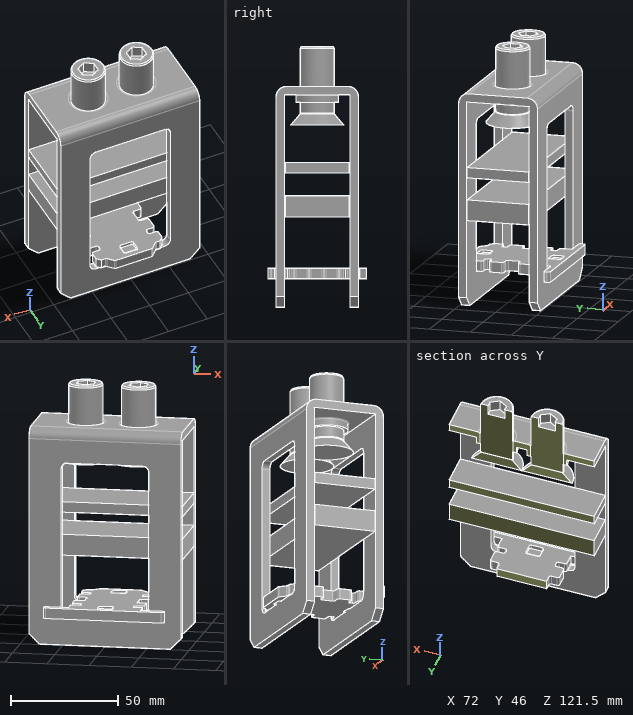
import cadquery as cq
import math

BRACKET_LENGTH = 72.0
BRACKET_DEPTH = 38.5
BRACKET_HEIGHT = 103.0
SHEET = 4.0
BEND_RADIUS = 5.0
FOOT_CHAMFER = 5.0

WINDOW_WIDTH = 41.5
WINDOW_BOTTOM = 13.2
WINDOW_TOP = 87.0
WINDOW_CORNER = 3.0

COLLAR_RADIUS = 10.0
COLLAR_HEIGHT = 3.5
COLLAR_ENTRY_ROUNDING = 1.2
COLLAR_ROOT_ROUNDING = 0.4

TAB_WIDTH = 6.5
TAB_HEIGHT = 4.0

TOTAL_HEIGHT = 121.5
SCREW_SPACING = 25.0
SCREW_RADIUS = 8.0
SCREW_TIP_INSET = 0.5
SCREW_TIP_HEIGHT = 0.9
SCREW_END_CHAMFER = 0.4
SOCKET_FLATS = 8.1
SOCKET_DEPTH = 5.5

FOOT_RADIUS = SCREW_SPACING / 2
FOOT_BOTTOM = 84.9
FOOT_TOP = 90.2

PLATE_WIDTH = 30.0
PRESSURE_PLATE_BOTTOM = 62.6
PRESSURE_PLATE_THICKNESS = 5.0
CLAMPED_BAR_BOTTOM = 42.0
CLAMPED_BAR_THICKNESS = 10.0

LATCH_THICKNESS = 5.0
LATCH_DEPTH = 46.0
LATCH_HALF_WIDTH = 17.1
LATCH_ROUNDING = 1.0
LATCH_BAR_LENGTH = 57.3
LATCH_BAR_ROUNDING = 1.3
LATCH_BAR_BACK = -19.9
LATCH_SHOULDER = 19.8
LATCH_SHOULDER_CHAMFER = 2.0
LATCH_NOSE_TIP_HALF = 9.6
NOTCH_FLOOR = 12.4
NOTCH_CENTRE = -0.4
WIDE_NOTCH = 7.0
NARROW_NOTCH = 3.0
NOTCH_PITCH = 12.0
SLOT_LENGTH = 7.0
SLOT_WIDTH = 6.0
SLOT_OFFSET = 17.5

SHEET_UNDERSIDE = BRACKET_HEIGHT - SHEET
SCREW_CENTRES = [(-SCREW_SPACING / 2, 0), (SCREW_SPACING / 2, 0)]


def make_channel():
    """Sheet U with rounded bends, chamfered feet and a window through both legs."""
    outer = (
        cq.Workplane("XY")
        .box(BRACKET_LENGTH, BRACKET_DEPTH, BRACKET_HEIGHT, centered=(True, True, False))
        .edges("|X and >Z").fillet(BEND_RADIUS)
        .edges("|Y and <Z").chamfer(FOOT_CHAMFER)
    )
    inner = (
        cq.Workplane("XY")
        .box(BRACKET_LENGTH, BRACKET_DEPTH - 2 * SHEET, SHEET_UNDERSIDE, centered=(True, True, False))
    )
    window = (
        cq.Workplane("XY", origin=(0, 0, WINDOW_BOTTOM))
        .box(WINDOW_WIDTH, BRACKET_DEPTH, WINDOW_TOP - WINDOW_BOTTOM, centered=(True, True, False))
        .edges("|Y").fillet(WINDOW_CORNER)
    )
    return outer.cut(inner).cut(window)


def make_locking_tabs():
    tab_y = (BRACKET_DEPTH - SHEET) / 2
    return (
        cq.Workplane("XY", origin=(0, 0, WINDOW_BOTTOM))
        .pushPoints([(0, -tab_y), (0, tab_y)])
        .rect(TAB_WIDTH, SHEET).extrude(TAB_HEIGHT)
    )


def make_bracket():
    collars = (
        cq.Workplane("XY", origin=(0, 0, SHEET_UNDERSIDE - COLLAR_HEIGHT))
        .pushPoints(SCREW_CENTRES).circle(COLLAR_RADIUS).extrude(COLLAR_HEIGHT)
    )
    bores = (
        cq.Workplane("XY", origin=(0, 0, SHEET_UNDERSIDE - COLLAR_HEIGHT))
        .pushPoints(SCREW_CENTRES).circle(SCREW_RADIUS).extrude(COLLAR_HEIGHT + SHEET)
    )
    collar_roots = cq.selectors.BoxSelector(
        (-BRACKET_LENGTH, -BRACKET_DEPTH, SHEET_UNDERSIDE - COLLAR_ROOT_ROUNDING),
        (BRACKET_LENGTH, BRACKET_DEPTH, SHEET_UNDERSIDE + COLLAR_ROOT_ROUNDING),
    )
    return (
        make_channel().union(make_locking_tabs()).union(collars)
        .edges("%CIRCLE").edges(collar_roots).fillet(COLLAR_ROOT_ROUNDING)
        .cut(bores)
        .faces(">Z").edges("%CIRCLE").fillet(COLLAR_ENTRY_ROUNDING)
    )


def make_screw(x, y):
    """Set screw with a hexagon socket in its top."""
    length = TOTAL_HEIGHT - FOOT_TOP
    body = (
        cq.Workplane("XY", origin=(0, 0, FOOT_TOP))
        .circle(SCREW_RADIUS).extrude(length)
        .faces(">Z").chamfer(SCREW_TIP_HEIGHT, SCREW_TIP_INSET)
        .faces("<Z").chamfer(SCREW_END_CHAMFER)
    )
    socket = (
        cq.Workplane("XY", origin=(0, 0, TOTAL_HEIGHT - SOCKET_DEPTH))
        .transformed(rotate=(0, 0, 90))
        .polygon(6, SOCKET_FLATS / math.cos(math.pi / 6)).extrude(SOCKET_DEPTH)
    )
    return body.cut(socket).translate((x, y, 0))


def make_foot(x, y):
    """Cone frustum as wide as the screw at its top and widest at the bottom."""
    foot = cq.Solid.makeCone(FOOT_RADIUS, SCREW_RADIUS, FOOT_TOP - FOOT_BOTTOM)
    return cq.Workplane(foot).translate((x, y, FOOT_BOTTOM))


def make_plate(bottom, thickness):
    return (
        cq.Workplane("XY", origin=(0, 0, bottom))
        .box(BRACKET_LENGTH, PLATE_WIDTH, thickness, centered=(True, True, False))
    )


def latch_prism():
    return cq.Workplane("XY", origin=(0, 0, WINDOW_BOTTOM))


def make_latch_tongue():
    """Notched tongue through both windows, ending in a tapered nose behind the rear leg."""
    nose_tip = LATCH_DEPTH / 2
    nose_root_half = LATCH_NOSE_TIP_HALF + nose_tip - LATCH_SHOULDER
    tongue_length = LATCH_SHOULDER - LATCH_BAR_BACK
    tongue = (
        latch_prism().center(0, LATCH_BAR_BACK + tongue_length / 2)
        .rect(2 * LATCH_HALF_WIDTH, tongue_length).extrude(LATCH_THICKNESS)
        .edges("|Z and >Y").chamfer(LATCH_SHOULDER_CHAMFER)
    )
    nose = (
        latch_prism()
        .polyline([
            (-nose_root_half, LATCH_SHOULDER),
            (nose_root_half, LATCH_SHOULDER),
            (LATCH_NOSE_TIP_HALF, nose_tip),
            (-LATCH_NOSE_TIP_HALF, nose_tip),
        ])
        .close().extrude(LATCH_THICKNESS)
    )
    notch_depth = LATCH_HALF_WIDTH - NOTCH_FLOOR
    notch_x = NOTCH_FLOOR + notch_depth / 2
    for offset, width in ((-1, NARROW_NOTCH), (0, WIDE_NOTCH), (1, NARROW_NOTCH)):
        notch_y = NOTCH_CENTRE + offset * NOTCH_PITCH
        notches = (
            latch_prism().pushPoints([(-notch_x, notch_y), (notch_x, notch_y)])
            .rect(notch_depth, width).extrude(LATCH_THICKNESS)
        )
        tongue = tongue.cut(notches)

    notch_reach = NOTCH_PITCH + NARROW_NOTCH
    notch_zone = cq.selectors.BoxSelector(
        (-LATCH_BAR_LENGTH, NOTCH_CENTRE - notch_reach, 0),
        (LATCH_BAR_LENGTH, NOTCH_CENTRE + notch_reach, BRACKET_HEIGHT),
    )
    tongue = tongue.edges("|Z").edges(notch_zone).fillet(LATCH_ROUNDING).union(nose)

    nose_zone = cq.selectors.BoxSelector(
        (-nose_root_half - LATCH_ROUNDING, LATCH_SHOULDER - LATCH_ROUNDING, 0),
        (nose_root_half + LATCH_ROUNDING, nose_tip + LATCH_ROUNDING, BRACKET_HEIGHT),
    )
    return tongue.edges("|Z").edges(nose_zone).fillet(LATCH_ROUNDING)


def make_latch():
    bar_width = LATCH_DEPTH / 2 + LATCH_BAR_BACK
    bar = (
        latch_prism().center(0, LATCH_BAR_BACK - bar_width / 2)
        .rect(LATCH_BAR_LENGTH, bar_width).extrude(LATCH_THICKNESS)
        .edges("|Z").fillet(LATCH_BAR_ROUNDING)
    )
    slots = (
        latch_prism().pushPoints([(0, -SLOT_OFFSET), (0, SLOT_OFFSET)])
        .rect(SLOT_LENGTH, SLOT_WIDTH).extrude(LATCH_THICKNESS)
        .edges("|Z").fillet(LATCH_ROUNDING)
    )
    return make_latch_tongue().union(bar).cut(slots)


bracket = make_bracket()
pressure_plate = make_plate(PRESSURE_PLATE_BOTTOM, PRESSURE_PLATE_THICKNESS)
clamped_bar = make_plate(CLAMPED_BAR_BOTTOM, CLAMPED_BAR_THICKNESS)
latch = make_latch()
screws = [make_screw(x, y) for x, y in SCREW_CENTRES]
feet = [make_foot(x, y) for x, y in SCREW_CENTRES]

result = cq.Compound.makeCompound([
    bracket.val(),
    pressure_plate.val(),
    clamped_bar.val(),
    latch.val(),
    *[screw.val() for screw in screws],
    *[foot.val() for foot in feet],
])